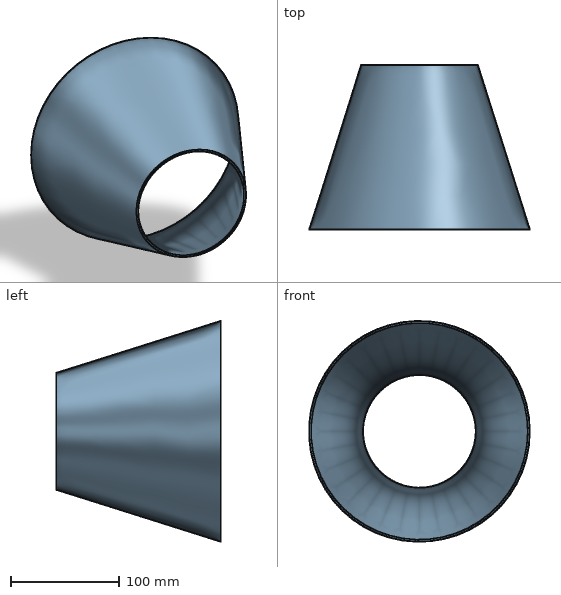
import cadquery as cq

large_diameter = 204.0
small_diameter = 108.0
length = 152.0
wall = 2.0

large_radius = large_diameter / 2
small_radius = small_diameter / 2

wall_section = (
    cq.Workplane("XY")
    .moveTo(large_radius - wall, 0)
    .lineTo(large_radius, 0)
    .lineTo(small_radius, length)
    .lineTo(small_radius - wall, length)
    .close()
)

result = wall_section.revolve(360, (0, 0, 0), (0, 1, 0))